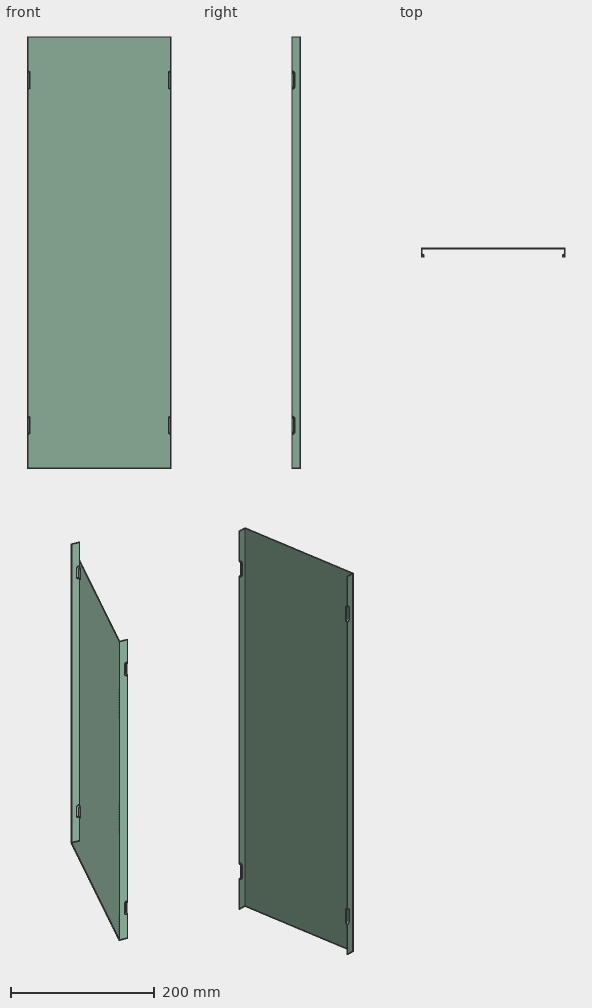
import cadquery as cq
import math

WIDTH = 200.0
DEPTH = 12.5
HEIGHT = 600.0
SHEET = 1.0

DIMPLE_END_DISTANCE = 60.0
DIMPLE_LENGTH = 24.5
DIMPLE_REACH = 4.0
DIMPLE_PRESS = 3.0
DIMPLE_TAPER = 30.0

OUTER_X = WIDTH / 2
FREE_EDGE_Y = -DEPTH / 2
DIMPLE_Z = HEIGHT / 2 - DIMPLE_END_DISTANCE

TAPER_ANGLE = math.radians(DIMPLE_TAPER)
BULGE_GROWTH = SHEET * (1 / math.cos(TAPER_ANGLE) - math.tan(TAPER_ANGLE))


def make_channel():
    """U-shaped sheet: the panel at +Y and a flange along each side."""
    block = cq.Workplane("XY").box(WIDTH, DEPTH, HEIGHT)
    inside = cq.Workplane("XY").box(WIDTH - 2 * SHEET, DEPTH, HEIGHT)
    return block.cut(inside.translate((0, -SHEET, 0)))


def tapered_slot(side, z_centre, start_depth, growth):
    """Slot with sloping sides, centred on the free edge of a flange and narrowing inwards.

    It starts start_depth inside the outer flange face, growth larger all round than the dimple.
    """
    plane = cq.Plane(
        origin=(side * (OUTER_X - start_depth), FREE_EDGE_Y, z_centre),
        xDir=(0, 0, 1),
        normal=(-side, 0, 0),
    )
    return (
        cq.Workplane(plane)
        .slot2D(DIMPLE_LENGTH + 2 * growth, 2 * (DIMPLE_REACH + growth))
        .extrude(DIMPLE_PRESS, taper=DIMPLE_TAPER)
    )


def add_dimple(body, side, z_centre):
    """Press the flange inwards, leaving a shell of sheet thickness."""
    envelope = cq.Workplane("XY").box(WIDTH, DEPTH, HEIGHT)
    bulge = tapered_slot(side, z_centre, SHEET, BULGE_GROWTH).intersect(envelope)
    recess = tapered_slot(side, z_centre, 0, 0)
    return body.union(bulge).cut(recess)


result = make_channel()
for flange_side in (-1, 1):
    for dimple_z in (-DIMPLE_Z, DIMPLE_Z):
        result = add_dimple(result, flange_side, dimple_z)